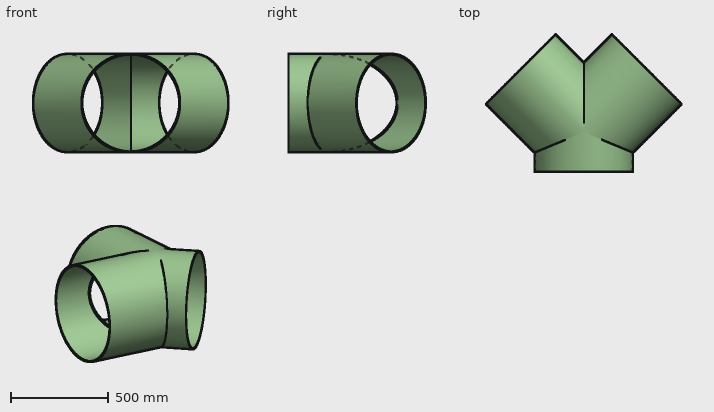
import cadquery as cq
import math

overall_width = 1006.0
overall_depth = 706.0
outer_diameter = 508.0
inner_diameter = 497.0
inlet_direction = 270.0
branch_directions = (45.0, 135.0)

outer_radius = outer_diameter / 2
branch_length = overall_width / 2 * math.sqrt(2) - outer_radius
inlet_length = overall_depth - overall_width / 2
sector_reach = 2 * overall_width


def polar_point(radius, direction):
    """Point in the XY plane at a distance and direction from the origin."""
    angle = math.radians(direction)
    return (radius * math.cos(angle), radius * math.sin(angle))


def mitred_pipe(direction, length, mitre_start, mitre_end):
    """Pipe along one direction, cut by the two mitre planes beside it."""
    axis = cq.Vector(*polar_point(1, direction), 0)
    tube_start = axis * -outer_diameter
    tube = (
        cq.Workplane(cq.Plane(origin=tube_start.toTuple(), xDir=(0, 0, 1), normal=axis.toTuple()))
        .circle(outer_radius)
        .circle(inner_diameter / 2)
        .extrude(length + outer_diameter)
    )
    sector_outline = [
        (0, 0),
        polar_point(sector_reach, mitre_start),
        polar_point(sector_reach, direction),
        polar_point(sector_reach, mitre_end),
    ]
    sector = cq.Workplane("XY").polyline(sector_outline).close().extrude(outer_diameter, both=True)
    return tube.intersect(sector)


right_branch, left_branch = branch_directions
branch_mitre = (right_branch + left_branch) / 2
left_mitre = (left_branch + inlet_direction) / 2
right_mitre = (right_branch + inlet_direction - 360) / 2

result = (
    mitred_pipe(inlet_direction, inlet_length, left_mitre, right_mitre)
    .union(mitred_pipe(right_branch, branch_length, right_mitre, branch_mitre))
    .union(mitred_pipe(left_branch, branch_length, branch_mitre, left_mitre))
)